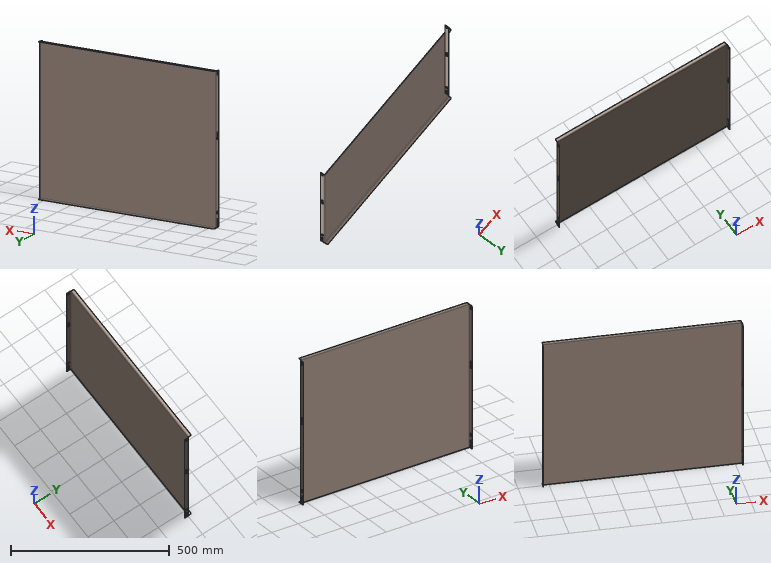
import cadquery as cq

width = 644.0
depth = 27.0
height = 520.0

sheet = 1.0
bend_inner = 1.0
bend_outer = bend_inner + sheet
side_flange_depth = 16.0
front = -depth / 2
back = depth / 2
panel_back = front + side_flange_depth
panel_front = panel_back - sheet

relief = bend_outer
side_corner_radius = 3.0
rear_corner_radius = 3.0

opening_y = front + 7.0
slot_length = 12.0
slot_width = 6.0
slot_heights = (249.0, 49.5, -235.0, -249.0)
hole_diameter = 9.5
hole_heights = (35.5, -209.0)


def side_flange(side):
    """Flange folded forward along a vertical panel edge; side is -1 or 1."""
    edge = side * width / 2
    inner = edge - side * sheet
    bend_start = edge - side * bend_outer
    bend_y = panel_back - bend_outer
    length = height - 2 * relief
    bend = (
        cq.Workplane("XY", origin=(0, 0, -length / 2))
        .moveTo(bend_start, panel_back)
        .radiusArc((edge, bend_y), side * bend_outer)
        .lineTo(edge, front)
        .lineTo(inner, front)
        .lineTo(inner, bend_y)
        .radiusArc((bend_start, panel_front), -side * bend_inner)
        .close()
        .extrude(length)
    )
    return bend.edges("|X and <Y").fillet(side_corner_radius)


def rear_flange(side):
    """Flange folded backward along a horizontal panel edge; side is -1 or 1."""
    edge = side * height / 2
    inner = edge - side * sheet
    bend_start = edge - side * bend_outer
    bend_y = panel_front + bend_outer
    length = width - 2 * relief
    bend = (
        cq.Workplane("YZ", origin=(-length / 2, 0, 0))
        .moveTo(panel_front, bend_start)
        .radiusArc((bend_y, edge), side * bend_outer)
        .lineTo(back, edge)
        .lineTo(back, inner)
        .lineTo(bend_y, inner)
        .radiusArc((panel_back, bend_start), -side * bend_inner)
        .close()
        .extrude(length)
    )
    return bend.edges("|Z and >Y").fillet(rear_corner_radius)


def side_openings():
    """Cutters that pass through both side flanges."""
    plane = cq.Workplane("YZ", origin=(-width / 2, 0, 0))
    slots = (
        plane.pushPoints([(opening_y, z) for z in slot_heights])
        .slot2D(slot_length, slot_width, 90)
        .extrude(width)
    )
    holes = (
        plane.pushPoints([(opening_y, z) for z in hole_heights])
        .circle(hole_diameter / 2)
        .extrude(width)
    )
    return slots.union(holes)


result = (
    cq.Workplane("XY")
    .box(width - 2 * bend_outer, sheet, height - 2 * bend_outer)
    .translate((0, panel_back - sheet / 2, 0))
)
for side in (-1, 1):
    result = result.union(side_flange(side)).union(rear_flange(side))
result = result.cut(side_openings())